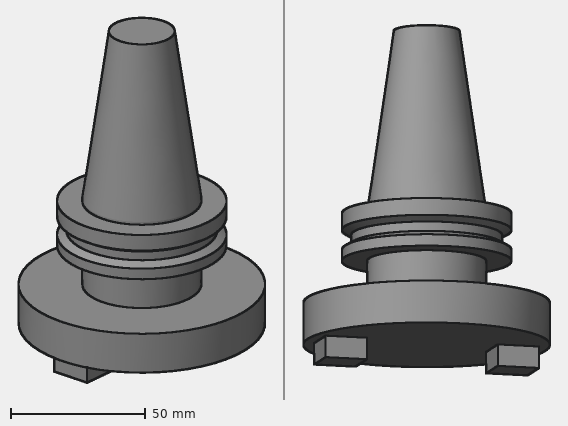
import cadquery as cq

total_height = 127.1

key_size = 16.0
key_height = 8.1
key_outer_reach = 41.3

disk_radius = 46.0
disk_thickness = 15.9
neck_radius = 22.2
neck_height = 15.9
flange_radius = 31.7
flange_thickness = 18.0

groove_floor_radius = 28.2
groove_floor_width = 3.5
groove_flank_height = 1.9
groove_lower_land = 4.3

shank_collar_height = 1.0
shank_base_radius = neck_radius
shank_tip_radius = 12.3

disk_bottom = key_height
disk_top = disk_bottom + disk_thickness
flange_bottom = disk_top + neck_height
flange_top = flange_bottom + flange_thickness
groove_bottom = flange_bottom + groove_lower_land
groove_floor_bottom = groove_bottom + groove_flank_height
groove_floor_top = groove_floor_bottom + groove_floor_width
groove_top = groove_floor_top + groove_flank_height
taper_bottom = flange_top + shank_collar_height


def turned_body():
    """Disk, neck, grooved flange and tapered shank as one revolved half profile."""
    half_profile = [
        (0, disk_bottom),
        (disk_radius, disk_bottom),
        (disk_radius, disk_top),
        (neck_radius, disk_top),
        (neck_radius, flange_bottom),
        (flange_radius, flange_bottom),
        (flange_radius, groove_bottom),
        (groove_floor_radius, groove_floor_bottom),
        (groove_floor_radius, groove_floor_top),
        (flange_radius, groove_top),
        (flange_radius, flange_top),
        (shank_base_radius, flange_top),
        (shank_base_radius, taper_bottom),
        (shank_tip_radius, total_height),
        (0, total_height),
    ]
    return cq.Workplane("XZ").polyline(half_profile).close().revolve(360, (0, 0, 0), (0, 1, 0))


def drive_keys():
    """Two square keys on opposite sides of the axis along Y, standing below the disk."""
    key_offset = key_outer_reach - key_size / 2
    return (
        cq.Workplane("XY")
        .pushPoints([(0, -key_offset), (0, key_offset)])
        .rect(key_size, key_size)
        .extrude(key_height)
    )


result = turned_body().union(drive_keys())